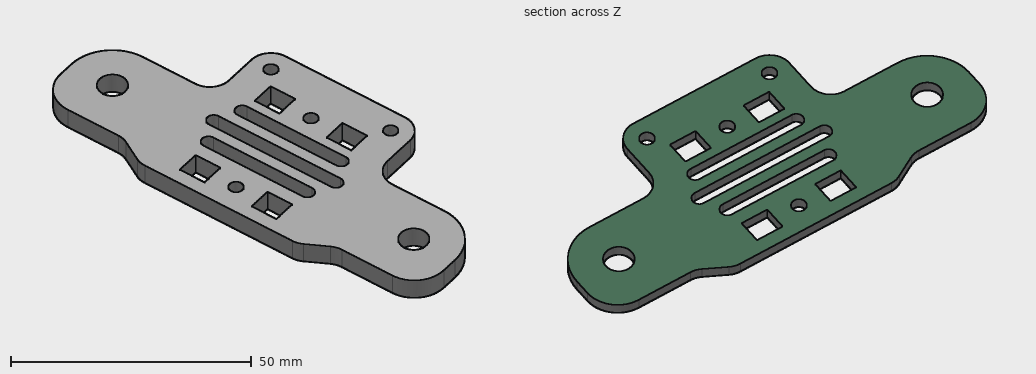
import cadquery as cq
import math

thickness = 5.0
total_width = 99.3
total_depth = 44.0
body_half_width = 20.5
body_corner_radius = 5.0
arm_fillet_radius = 5.0

mount_hole_diameter = 6.5
mount_hole_x = 39.0
mount_hole_y = 15.5
arm_bottom_y = 4.0
arm_lower_corner_radius = 7.65
arm_tip_x = total_width / 2
arm_end_radius = arm_tip_x - mount_hole_x
arm_top_y = mount_hole_y + arm_end_radius

slope_outer_x = 27.6
slope_inner_x = 20.4
slope_blend_radius = 5.0

row_middle_y = 19.1
row_spacing = 26.0
pattern_rows = [row_middle_y - row_spacing / 2, row_middle_y + row_spacing / 2]

screw_hole_diameter = 3.2
corner_hole_x = body_half_width - body_corner_radius
corner_hole_y = total_depth - body_corner_radius

window_width = 6.4
window_height = 5.5
window_x = 9.3

slot_width = 3.2
slot_spacing = 5.85
long_slot_length = 34.8
short_slot_length = 28.8
middle_slot_y = 19.55
slots = [
    (short_slot_length, middle_slot_y + slot_spacing),
    (long_slot_length, middle_slot_y),
    (short_slot_length, middle_slot_y - slot_spacing),
]


def point_on_circle(center_x, center_y, radius, angle):
    """Point on a circle at the given angle in degrees."""
    turn = math.radians(angle)
    return (center_x + radius * math.cos(turn), center_y + radius * math.sin(turn))


def make_half_plate():
    """Right half of the plate, from the symmetry plane to the arm tip."""
    body_corner = point_on_circle(corner_hole_x, corner_hole_y, body_corner_radius, 45)
    fillet_x = body_half_width + arm_fillet_radius
    fillet_y = arm_top_y + arm_fillet_radius
    fillet = point_on_circle(fillet_x, fillet_y, arm_fillet_radius, 225)
    arm_end = point_on_circle(mount_hole_x, mount_hole_y, arm_end_radius, 45)
    lower_x = arm_tip_x - arm_lower_corner_radius
    lower_y = arm_bottom_y + arm_lower_corner_radius
    lower_corner = point_on_circle(lower_x, lower_y, arm_lower_corner_radius, -45)

    half = (
        cq.Workplane("XY")
        .moveTo(0, total_depth)
        .lineTo(corner_hole_x, total_depth)
        .threePointArc(body_corner, (body_half_width, corner_hole_y))
        .lineTo(body_half_width, fillet_y)
        .threePointArc(fillet, (fillet_x, arm_top_y))
        .lineTo(mount_hole_x, arm_top_y)
        .threePointArc(arm_end, (arm_tip_x, mount_hole_y))
        .lineTo(arm_tip_x, lower_y)
        .threePointArc(lower_corner, (lower_x, arm_bottom_y))
        .lineTo(slope_outer_x, arm_bottom_y)
        .lineTo(slope_inner_x, 0)
        .lineTo(0, 0)
        .close()
        .extrude(thickness)
    )
    for corner in [(slope_outer_x, arm_bottom_y), (slope_inner_x, 0)]:
        edge = cq.selectors.NearestToPointSelector((*corner, thickness / 2))
        half = half.edges("|Z").edges(edge).fillet(slope_blend_radius)
    return half


def make_plate():
    half = make_half_plate()
    return half.union(half.mirror("YZ")).clean()


def cut_circles(plate, points, diameter):
    holes = cq.Workplane("XY").pushPoints(points).circle(diameter / 2).extrude(thickness)
    return plate.cut(holes)


def cut_round_holes(plate):
    mount_points = [(side * mount_hole_x, mount_hole_y) for side in (-1, 1)]
    screw_points = [(side * corner_hole_x, corner_hole_y) for side in (-1, 1)]
    screw_points += [(0, y) for y in pattern_rows]
    plate = cut_circles(plate, mount_points, mount_hole_diameter)
    return cut_circles(plate, screw_points, screw_hole_diameter)


def cut_windows(plate):
    points = [(side * window_x, y) for side in (-1, 1) for y in pattern_rows]
    windows = cq.Workplane("XY").pushPoints(points).rect(window_width, window_height).extrude(thickness)
    return plate.cut(windows)


def cut_slots(plate):
    for length, y in slots:
        slot = cq.Workplane("XY").center(0, y).slot2D(length, slot_width).extrude(thickness)
        plate = plate.cut(slot)
    return plate


plate = make_plate()
plate = cut_round_holes(plate)
plate = cut_windows(plate)
plate = cut_slots(plate)

result = plate